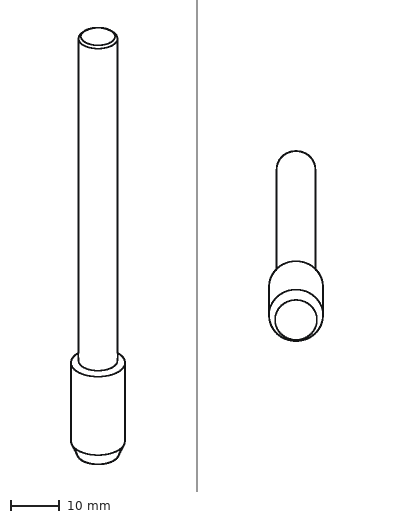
import cadquery as cq

total_length = 100.0
head_diameter = 11.1
shank_diameter = 8.0
tip_diameter = 8.6
tip_height = 3.0
shoulder_start = 21.8
head_length = 22.3
shank_chamfer = 0.5

head_radius = head_diameter / 2
shank_radius = shank_diameter / 2
tip_radius = tip_diameter / 2
shank_length = total_length - head_length


def make_head():
    """Revolved head: conical tip, cylinder and sloping shoulder."""
    return (
        cq.Workplane("XZ")
        .moveTo(0, 0)
        .lineTo(tip_radius, 0)
        .lineTo(head_radius, tip_height)
        .lineTo(head_radius, shoulder_start)
        .lineTo(shank_radius, head_length)
        .lineTo(0, head_length)
        .close()
        .revolve(360, (0, 0, 0), (0, 1, 0))
    )


def make_shank():
    """Round shank standing on the head, chamfered at its free end."""
    return (
        cq.Workplane("XY")
        .workplane(offset=head_length)
        .circle(shank_radius)
        .extrude(shank_length)
        .faces(">Z")
        .edges()
        .chamfer(shank_chamfer)
    )


head = make_head()
shank = make_shank()

result = cq.Compound.makeCompound([head.val(), shank.val()])